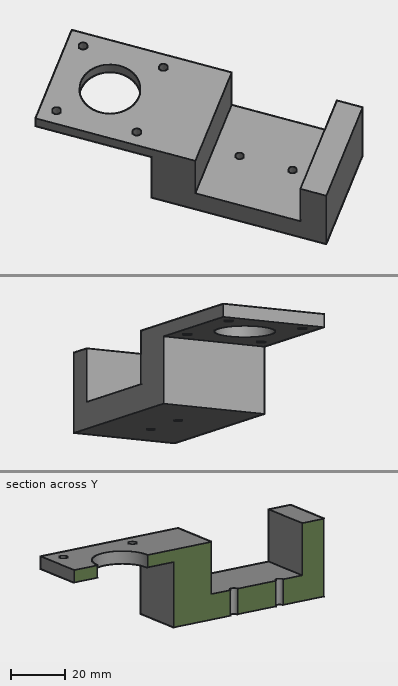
import cadquery as cq

length = 112.5
width = 42.5
height = 30.0

plate_thickness = 5.0
plate_overhang = 44.9
channel_start = 61.9
wall_thickness = 10.0
floor_thickness = wall_thickness
channel_end = length - wall_thickness

motor_x = 21.8
motor_bore_diameter = 22.4
motor_bolt_spacing = 31.0
motor_bolt_diameter = 3.3

floor_hole_x = (channel_start + channel_end) / 2
floor_hole_spacing = 20.5
floor_hole_diameter = 3.0


def make_body():
    """Stepped profile extruded across the width, centred on Y = 0."""
    outline = [
        (0, height),
        (0, height - plate_thickness),
        (plate_overhang, height - plate_thickness),
        (plate_overhang, 0),
        (length, 0),
        (length, height),
        (channel_end, height),
        (channel_end, floor_thickness),
        (channel_start, floor_thickness),
        (channel_start, height),
    ]
    return cq.Workplane("XZ").polyline(outline).close().extrude(width / 2, both=True)


def hole_cutters(center_x, diameter, points):
    """Full-height vertical cylinders at points relative to center_x."""
    base = cq.Workplane("XY", origin=(center_x, 0, 0))
    return base.pushPoints(points).circle(diameter / 2).extrude(height)


half_bolt = motor_bolt_spacing / 2
motor_bolts = [(x, y) for x in (-half_bolt, half_bolt) for y in (-half_bolt, half_bolt)]
floor_holes = [(-floor_hole_spacing / 2, 0), (floor_hole_spacing / 2, 0)]

result = make_body()
result = result.cut(hole_cutters(motor_x, motor_bore_diameter, [(0, 0)]))
result = result.cut(hole_cutters(motor_x, motor_bolt_diameter, motor_bolts))
result = result.cut(hole_cutters(floor_hole_x, floor_hole_diameter, floor_holes))